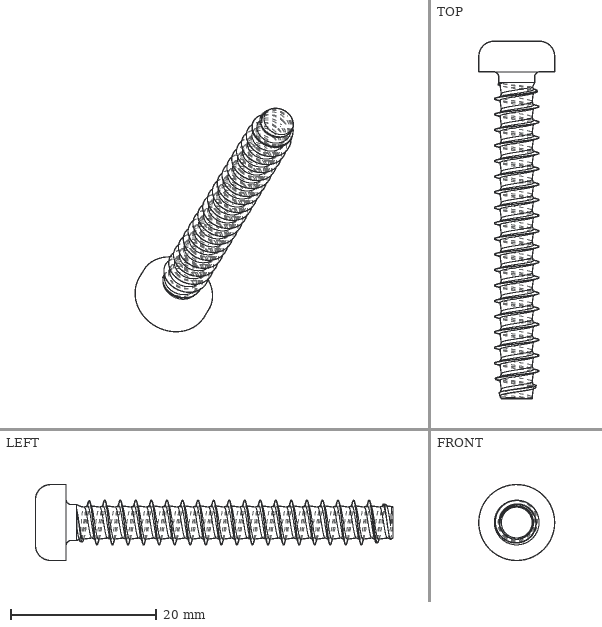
import cadquery as cq


total_length = 49.2
head_diameter = 10.5
head_height = 4.25
crown_radius = 2.1
rim_radius = 0.1

shank_length = total_length - head_height
neck_diameter = 4.95
neck_radius = neck_diameter / 2
neck_length = 1.45
neck_fillet = 0.7
neck_taper_length = 0.85
tip_radius = 2.1
tip_dish_depth = 0.15

pitch = 36.35 / 17
thread_diameter = 6.15
thread_radius = thread_diameter / 2
crest_width = 0.05
root_width = 0.45
root_radius = 2.3
valley_diameter = 4.3
valley_radius = valley_diameter / 2
valley_offset = 0.7

phase_depth = 4.75
turns_below_phase = 20
thread_turns = 23
entry_depth = 1.5
entry_length = 1.95
exit_length = 2.95
exit_gap = 0.35

overrun = 0.5


def make_head():
    head = cq.Workplane("XY").circle(head_diameter / 2).extrude(head_height)
    return head.faces(">Z").edges().fillet(crown_radius).faces("<Z").edges().fillet(rim_radius)


def revolve_outline(outline):
    return outline.close().revolve(360, (0, 0, 0), (0, 1, 0))


def make_neck():
    """Neck filleted into the head, ending in a cone that narrows to the valley of the thread."""
    arc_inset = neck_fillet * (1 - 0.5 ** 0.5)
    cone_end = -neck_length - neck_taper_length
    outline = (
        cq.Workplane("XZ")
        .moveTo(0, overrun)
        .lineTo(neck_radius + neck_fillet, overrun)
        .lineTo(neck_radius + neck_fillet, 0)
        .threePointArc((neck_radius + arc_inset, -arc_inset), (neck_radius, -neck_fillet))
        .lineTo(neck_radius, -neck_length)
        .lineTo(valley_radius, cone_end)
        .lineTo(0, cone_end)
    )
    return revolve_outline(outline)


def make_threaded_rod():
    """Solid rod bounded by one thread profile screwed along the axis.

    The profile spans one pitch, from valley to valley, so each turn joins the
    next. A helicoid of one turn and a flat radial face close each end.
    """
    profile = [
        (valley_radius, valley_offset - pitch),
        (root_radius, -root_width / 2),
        (thread_radius, -crest_width / 2),
        (thread_radius, crest_width / 2),
        (root_radius, root_width / 2),
        (valley_radius, valley_offset),
    ]
    start = -phase_depth - turns_below_phase * pitch

    def helix_turn(radius, height):
        return cq.Wire.makeHelix(pitch, pitch, radius, cq.Vector(0, 0, height)).Edges()[0]

    def helicoid(height):
        axis_edge = cq.Edge.makeLine(cq.Vector(0, 0, height), cq.Vector(0, 0, height + pitch))
        return cq.Face.makeRuledSurface(axis_edge, helix_turn(valley_radius, height))

    def radial_face(height):
        rim = [cq.Vector(r, 0, height + h) for r, h in profile]
        on_axis = [cq.Vector(0, 0, rim[-1].z), cq.Vector(0, 0, rim[0].z)]
        return cq.Face.makeFromWires(cq.Wire.makePolygon(rim + on_axis, close=True))

    faces = []
    for turn in range(thread_turns):
        height = start + turn * pitch
        for (low_r, low_h), (high_r, high_h) in zip(profile, profile[1:]):
            low_edge = helix_turn(low_r, height + low_h)
            high_edge = helix_turn(high_r, height + high_h)
            faces.append(cq.Face.makeRuledSurface(low_edge, high_edge))
    end = start + thread_turns * pitch
    valley_below = valley_offset - pitch
    faces += [helicoid(start + valley_below), radial_face(start)]
    faces += [helicoid(end + valley_below), radial_face(end)]
    return cq.Workplane(cq.Solid.makeSolid(cq.Shell.makeShell(faces)))


def make_envelope():
    """Limits of the threaded shank: rising at the neck, sinking towards the dished tip."""
    outer_radius = thread_radius + overrun
    entry_slope = entry_length / (thread_radius - neck_radius)
    exit_slope = exit_length / (thread_radius - root_radius)
    exit_end = exit_gap - shank_length
    dish_sphere = (tip_radius ** 2 + tip_dish_depth ** 2) / (2 * tip_dish_depth)
    dish_mid_radius = tip_radius / 2
    dish_mid_sag = dish_sphere - (dish_sphere ** 2 - dish_mid_radius ** 2) ** 0.5
    dish_mid = (dish_mid_radius, tip_dish_depth - dish_mid_sag - shank_length)
    outline = (
        cq.Workplane("XZ")
        .moveTo(0, -entry_depth)
        .lineTo(neck_radius, -entry_depth)
        .lineTo(outer_radius, -entry_depth - entry_slope * (outer_radius - neck_radius))
        .lineTo(outer_radius, exit_end + exit_slope * (outer_radius - root_radius))
        .lineTo(root_radius, exit_end)
        .lineTo(tip_radius, -shank_length)
        .threePointArc(dish_mid, (0, tip_dish_depth - shank_length))
    )
    return revolve_outline(outline)


shank = make_threaded_rod().intersect(make_envelope())
screw = shank.union(make_neck()).union(make_head())
result = screw.rotate((0, 0, 0), (1, 0, 0), -90)